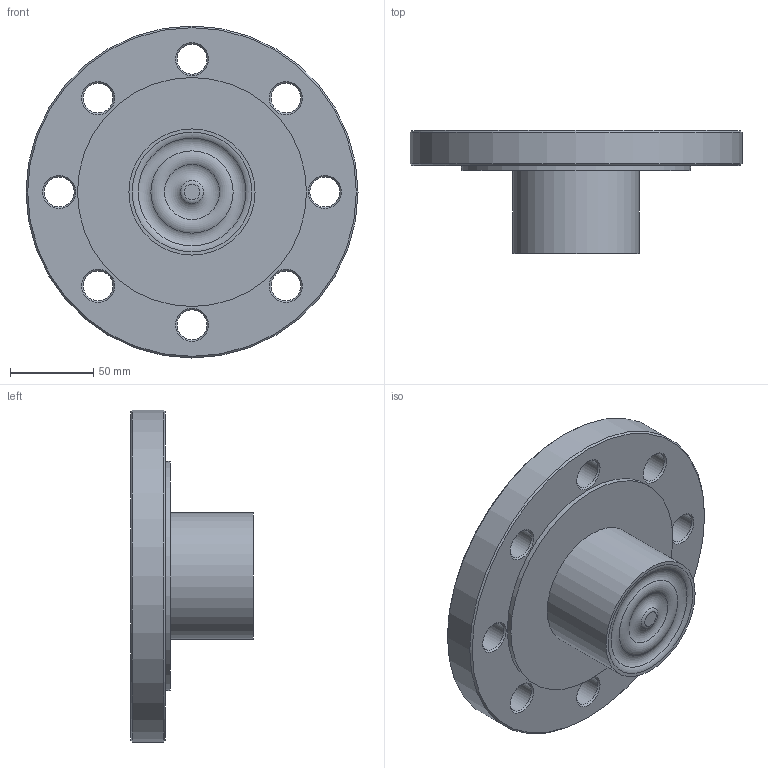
import cadquery as cq
import math

flange_diameter = 200.0
flange_thickness = 21.0
flange_chamfer = 1.0
raised_face_diameter = 138.0
raised_face_height = 3.0

bolt_circle_diameter = 160.0
bolt_hole_diameter = 18.0
bolt_hole_count = 8
bolt_hole_chamfer = 1.0

barrel_diameter = 76.0
barrel_length = 50.0

rim_inner_radius = 36.0
inflection_radii = [32.4, 24.8, 16.6, 7.0]
inflection_angles = [39.0, 31.0, 32.5, 44.5]
button_radius = 4.8

raised_face_y = -(flange_thickness + raised_face_height)
barrel_end_y = raised_face_y - barrel_length


def turned(profile):
    """Revolve a profile drawn in the XY plane about the Y axis."""
    return profile.close().revolve(360, (0, 0, 0), (0, 1, 0))


def make_flange():
    flange = cq.Workplane("XZ").circle(flange_diameter / 2).extrude(flange_thickness)
    flange = flange.edges().chamfer(flange_chamfer)
    raised_face = cq.Workplane("XZ").circle(raised_face_diameter / 2).extrude(-raised_face_y)
    return flange.union(raised_face)


def make_bolt_holes():
    radius = bolt_hole_diameter / 2
    mouth_radius = radius + bolt_hole_chamfer
    front_y = -flange_thickness
    hole = turned(
        cq.Workplane("XY")
        .moveTo(0, 0)
        .lineTo(radius, 0)
        .lineTo(radius, front_y + bolt_hole_chamfer)
        .lineTo(mouth_radius, front_y)
        .lineTo(0, front_y)
    )
    holes = cq.Workplane("XY")
    for index in range(bolt_hole_count):
        angle = index * 360.0 / bolt_hole_count
        placed = hole.translate((bolt_circle_diameter / 2, 0, 0)).rotate((0, 0, 0), (0, 1, 0), angle)
        holes = holes.union(placed)
    return holes


def make_barrel():
    """Barrel whose front end carries the corrugated diaphragm."""
    profile = (
        cq.Workplane("XY")
        .moveTo(0, 0)
        .lineTo(barrel_diameter / 2, 0)
        .lineTo(barrel_diameter / 2, barrel_end_y)
        .lineTo(rim_inner_radius, barrel_end_y)
    )
    radii = [rim_inner_radius] + inflection_radii + [button_radius]
    slopes = [0.0]
    for index, angle in enumerate(inflection_angles):
        slopes.append(math.radians(angle) * (-1) ** index)
    slopes.append(0.0)

    y = barrel_end_y
    for index in range(len(radii) - 1):
        start_radius = radii[index]
        end_radius = radii[index + 1]
        start_slope = slopes[index]
        end_slope = slopes[index + 1]
        mid_slope = (start_slope + end_slope) / 2
        arc_radius = (start_radius - end_radius) / (math.sin(end_slope) - math.sin(start_slope))
        mid_radius = start_radius - arc_radius * (math.sin(mid_slope) - math.sin(start_slope))
        mid_y = y + arc_radius * (math.cos(start_slope) - math.cos(mid_slope))
        y += arc_radius * (math.cos(start_slope) - math.cos(end_slope))
        profile = profile.threePointArc((mid_radius, mid_y), (end_radius, y))
    button_y = y
    return turned(profile.lineTo(0, button_y))


result = make_flange().union(make_barrel()).cut(make_bolt_holes())